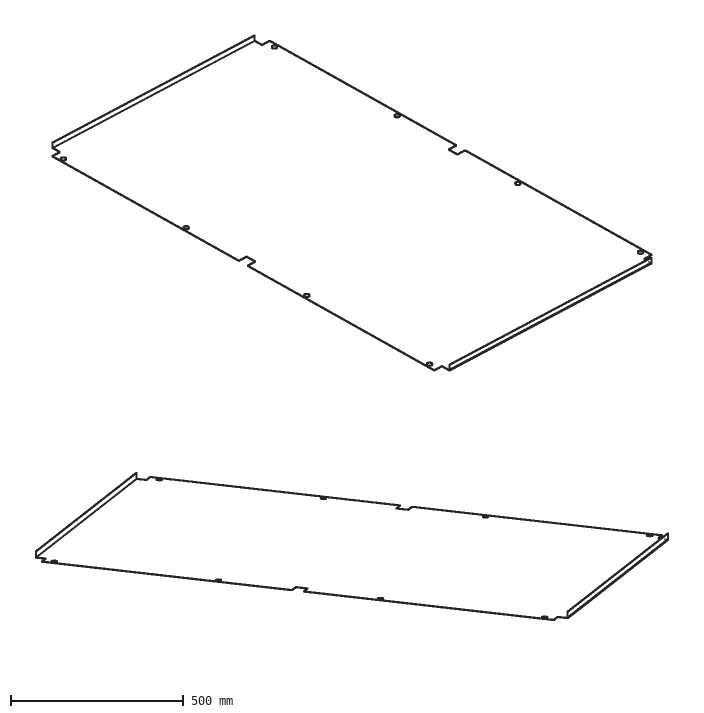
import cadquery as cq

length = 1650.0
width = 880.0
height = 20.0
thickness = 2.0

notch_depth = 31.0
corner_length = 31.0
middle_notch_length = 36.0

hole_diameter = 16.0
hole_edge_distance = 13.0
outer_hole_x = 760.0
inner_hole_x = 250.0

flange_width = width - 2 * notch_depth
hole_y = width / 2 - hole_edge_distance


def box_on_base(size_x, size_y, size_z, x=0, y=0):
    """Box centred at (x, y) and standing on Z = 0."""
    return cq.Workplane("XY").box(size_x, size_y, size_z, centered=(True, True, False)).translate((x, y, 0))


sheet = box_on_base(length, flange_width, thickness)
sheet = sheet.union(box_on_base(length - 2 * corner_length, width, thickness))

for side in (-1, 1):
    notch_y = side * (width - notch_depth) / 2
    sheet = sheet.cut(box_on_base(middle_notch_length, notch_depth, thickness, y=notch_y))

hole_centers = [
    (side_x * x, side_y * hole_y)
    for x in (inner_hole_x, outer_hole_x)
    for side_x in (-1, 1)
    for side_y in (-1, 1)
]
holes = cq.Workplane("XY").pushPoints(hole_centers).circle(hole_diameter / 2).extrude(thickness)
result = sheet.cut(holes)

for side in (-1, 1):
    flange_x = side * (length - thickness) / 2
    result = result.union(box_on_base(thickness, flange_width, height, x=flange_x))